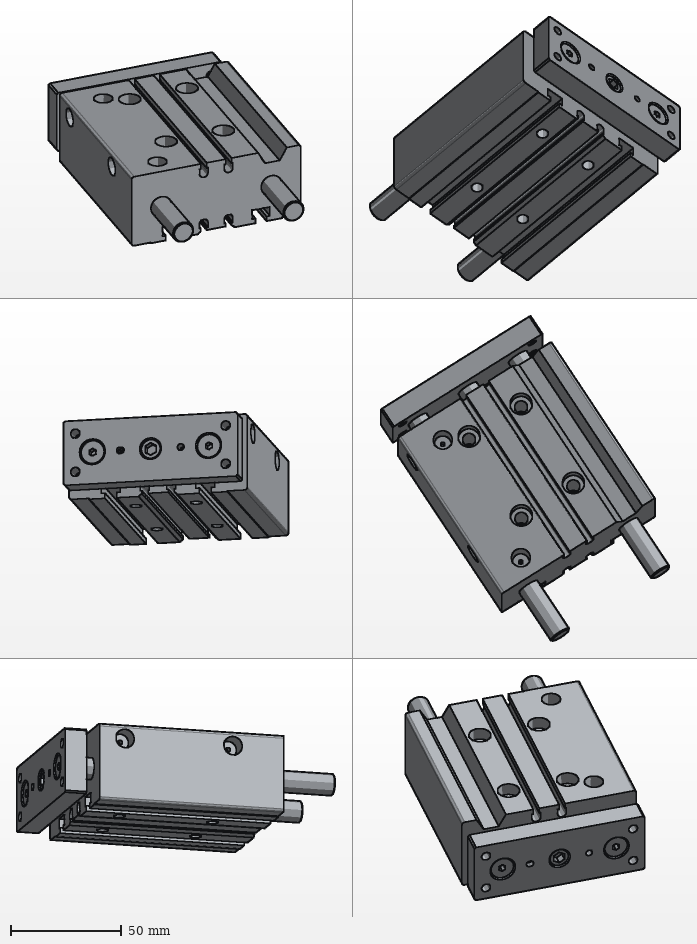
import cadquery as cq
import math


total_length = 130.0
plate_length = 10.0
plate_gap = 6.0
housing_length = 87.0
housing_width = 83.0
housing_height = 36.0

plate_width = 81.0
plate_height = 30.0
plate_edge_chamfer = 0.8

rod_diameter = 10.0
rod_tip_chamfer = 0.5
guide_rod_y = 27.0
piston_rod_depth = 52.0

edge_radius = 1.3
sensor_slot_y = 6.1
sensor_neck_width = 2.9
sensor_neck_depth = 2.7
sensor_head_width = 4.2
sensor_centre_depth = 5.1
dovetail_y = 27.5
dovetail_opening = 14.0
dovetail_depth = 6.0
dovetail_wall_angle = 30.0
tee_slot_y = 22.0
tee_opening = 5.5
tee_lip = 2.5
tee_head_width = 8.7
tee_head_height = 4.5
foot_outer_y = 32.2
foot_relief = 0.4
channel_width = 15.1
channel_depth = 1.3
channel_chamfer = 1.5

mount_first_x = 17.0
mount_pitch_x = 44.0
mount_y = 14.0
counterbore_diameter = 10.0
counterbore_depth = 6.0
clearance_diameter = 5.8
thread_diameter = 5.2
thread_depth = 10.0

port_mouth_diameter = 8.6
port_floor_diameter = 7.7
port_depth = 8.0
port_passage_diameter = 2.0
port_passage_depth = 3.9
port_near_x = 12.0
top_port_far_x = 9.5
side_port_far_x = 24.0
top_port_y = -25.0
side_port_z = 11.6

corner_hole_diameter = 4.2
corner_hole_y = 35.0
corner_hole_z = 9.0
locating_diameter = 3.0
locating_slot_length = 3.4
locating_depth = 6.0
locating_slot_depth = 3.0
locating_y = 14.0
guide_recess_diameter = 12.0
guide_recess_floor = 10.7
guide_socket = 3.0
piston_recess_diameter = 10.0
piston_recess_floor = 8.7
piston_socket = 5.1
recess_depth = 0.6
socket_depth = 4.0

housing_start = plate_length + plate_gap
housing_end = housing_start + housing_length
top_z = housing_height / 2
side_y = housing_width / 2


def along_x(start, diameter, length, y=0.0, z=0.0):
    """Round bar parallel to X."""
    return cq.Workplane("YZ", origin=(start, y, z)).circle(diameter / 2).extrude(length)


def box_at(length, y_size, z_size, start, y, z_low):
    """Box parallel to the axes, centred on y and standing on z_low."""
    return cq.Workplane("XY", origin=(start, y, z_low)).box(length, y_size, z_size, (False, True, False))


def housing_prism(points):
    """Extrude an outline of (y, z) points over the full housing length."""
    return cq.Workplane("YZ", origin=(housing_start, 0, 0)).polyline(points).close().extrude(housing_length)


def sensor_slot(y):
    """Slot open at the top, with a narrow neck and a wider round-bottomed head."""
    neck_z = top_z - sensor_neck_depth
    centre_z = top_z - sensor_centre_depth
    neck = box_at(housing_length, sensor_neck_width, top_z - centre_z, housing_start, y, centre_z)
    head = box_at(housing_length, sensor_head_width, neck_z - centre_z, housing_start, y, centre_z)
    round_bottom = along_x(housing_start, sensor_head_width, housing_length, y, centre_z)
    return neck.union(head).union(round_bottom)


def dovetail_groove():
    """Groove in the top face with inclined walls, narrower at its floor."""
    half_top = dovetail_opening / 2
    half_floor = half_top - dovetail_depth * math.tan(math.radians(dovetail_wall_angle))
    floor_z = top_z - dovetail_depth
    return housing_prism([
        (dovetail_y - half_top, top_z),
        (dovetail_y + half_top, top_z),
        (dovetail_y + half_floor, floor_z),
        (dovetail_y - half_floor, floor_z),
    ])


def tee_slot(y):
    """T-slot open at the bottom face."""
    neck = box_at(housing_length, tee_opening, tee_lip, housing_start, y, -top_z)
    head = box_at(housing_length, tee_head_width, tee_head_height, housing_start, y, tee_lip - top_z)
    return neck.union(head)


def bottom_channel():
    """Shallow channel along the middle of the bottom, with flared walls."""
    half_floor = channel_width / 2
    half_mouth = half_floor + channel_chamfer
    floor_z = channel_depth - top_z
    return housing_prism([
        (-half_mouth, -top_z),
        (half_mouth, -top_z),
        (half_floor, floor_z),
        (-half_floor, floor_z),
    ])


def mounting_hole(x, y):
    """Through hole, counterbored from the top and narrowed to a thread bore at the bottom."""
    def bore(diameter, z_low, z_high):
        return cq.Workplane("XY", origin=(x, y, z_low)).circle(diameter / 2).extrude(z_high - z_low)

    counterbore = bore(counterbore_diameter, top_z - counterbore_depth, top_z)
    clearance = bore(clearance_diameter, thread_depth - top_z, top_z)
    thread = bore(thread_diameter, -top_z, top_z)
    return counterbore.union(clearance).union(thread)


def port(plane):
    """Tapered port with a small passage in its floor, cut against the plane's normal."""
    taper = math.degrees(math.atan((port_mouth_diameter - port_floor_diameter) / 2 / port_depth))
    mouth = cq.Workplane(plane).circle(port_mouth_diameter / 2).extrude(-port_depth, taper=taper)
    passage_radius = port_passage_diameter / 2
    passage = cq.Workplane(plane).circle(passage_radius).extrude(-port_depth - port_passage_depth)
    return mouth.union(passage)


def make_housing():
    body = box_at(housing_length, housing_width, housing_height, housing_start, 0, -top_z)

    relief_width = side_y - foot_outer_y
    for side in (-1, 1):
        relief_y = side * (side_y - relief_width / 2)
        body = body.cut(box_at(housing_length, relief_width, foot_relief, housing_start, relief_y, -top_z))
    body = body.edges("|X").edges("<Y or >Y").fillet(edge_radius)

    body = body.cut(dovetail_groove()).cut(bottom_channel())
    for side in (-1, 1):
        slot = sensor_slot(side * sensor_slot_y)
        body = body.cut(slot).cut(slot.mirror("XY"))
        body = body.cut(tee_slot(side * tee_slot_y))

    for column in range(2):
        for side in (-1, 1):
            hole_x = housing_start + mount_first_x + column * mount_pitch_x
            body = body.cut(mounting_hole(hole_x, side * mount_y))

    near_x = housing_start + port_near_x
    for x in (near_x, housing_end - top_port_far_x):
        body = body.cut(port(cq.Plane((x, top_port_y, top_z), (1, 0, 0), (0, 0, 1))))
    for x in (near_x, housing_end - side_port_far_x):
        body = body.cut(port(cq.Plane((x, -side_y, side_port_z), (1, 0, 0), (0, -1, 0))))

    for side in (-1, 1):
        body = body.cut(along_x(housing_start, rod_diameter, housing_length, side * guide_rod_y))
    return body.cut(along_x(housing_start, rod_diameter, piston_rod_depth))


def screw_recess(y, mouth, floor, socket):
    """Conical recess in the plate's outer face with a hexagon socket in its floor."""
    taper = math.degrees(math.atan((mouth - floor) / 2 / recess_depth))
    face = cq.Workplane("YZ", origin=(0, y, 0))
    recess = face.circle(mouth / 2).extrude(recess_depth, taper=taper)
    across_corners = socket / math.cos(math.radians(30))
    hexagon = face.transformed(rotate=(0, 0, 30)).polygon(6, across_corners)
    return recess.union(hexagon.extrude(recess_depth + socket_depth))


def make_tool_plate():
    body = box_at(plate_length, plate_width, plate_height, 0, 0, -plate_height / 2)
    body = body.edges("|X").chamfer(plate_edge_chamfer)

    for y in (-corner_hole_y, corner_hole_y):
        for z in (-corner_hole_z, corner_hole_z):
            body = body.cut(along_x(0, corner_hole_diameter, plate_length, y, z))

    for side in (-1, 1):
        body = body.cut(along_x(0, locating_diameter, locating_depth, side * locating_y))
    slot_face = cq.Workplane("YZ", origin=(0, locating_y, 0))
    body = body.cut(slot_face.slot2D(locating_slot_length, locating_diameter).extrude(locating_slot_depth))

    guide_rod_length = total_length - plate_length
    for side in (-1, 1):
        rod = along_x(plate_length, rod_diameter, guide_rod_length, side * guide_rod_y)
        body = body.union(rod.faces(">X").chamfer(rod_tip_chamfer))
    body = body.union(along_x(plate_length, rod_diameter, plate_gap + piston_rod_depth))

    for side in (-1, 1):
        recess_y = side * guide_rod_y
        body = body.cut(screw_recess(recess_y, guide_recess_diameter, guide_recess_floor, guide_socket))
    return body.cut(screw_recess(0, piston_recess_diameter, piston_recess_floor, piston_socket))


housing = make_housing()
tool_plate = make_tool_plate()
result = cq.Compound.makeCompound([housing.val(), tool_plate.val()])